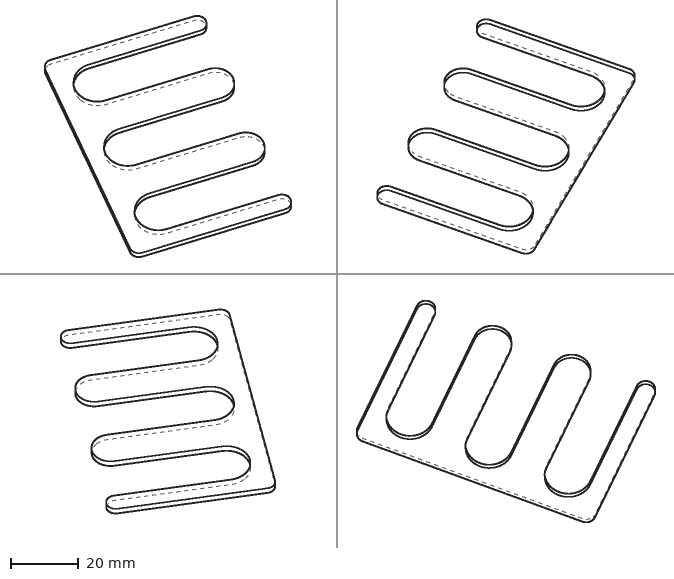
import cadquery as cq

length = 76.2
depth = 50.8
thickness = 2.0
slot_width = 14.1
slot_count = 3

outer_finger_width = (length - slot_count * slot_width) / (2 * slot_count)
inner_finger_width = 2 * outer_finger_width
spine_width = outer_finger_width
corner_radius = outer_finger_width / 2
slot_radius = slot_width / 2
slot_pitch = slot_width + inner_finger_width

front_y = -depth / 2
back_y = depth / 2
slot_end_y = front_y + spine_width
slot_arc_y = slot_end_y + slot_radius


def finger_tip(outline, start_x, width):
    """Round the free end of a finger, going in +X, with a half circle."""
    radius = width / 2
    shoulder_y = back_y - radius
    return (
        outline.lineTo(start_x, shoulder_y)
        .threePointArc((start_x + radius, back_y), (start_x + width, shoulder_y))
    )


def slot_bottom(outline, start_x):
    """Run down the side of a slot and around its half-circle bottom."""
    return (
        outline.lineTo(start_x, slot_arc_y)
        .threePointArc((start_x + slot_radius, slot_end_y), (start_x + slot_width, slot_arc_y))
    )


left_x = -length / 2
outline = cq.Workplane("XY").moveTo(left_x, front_y)
outline = finger_tip(outline, left_x, outer_finger_width)
for index in range(slot_count):
    slot_x = left_x + outer_finger_width + index * slot_pitch
    is_last = index == slot_count - 1
    next_finger_width = outer_finger_width if is_last else inner_finger_width
    outline = slot_bottom(outline, slot_x)
    outline = finger_tip(outline, slot_x + slot_width, next_finger_width)
outline = outline.lineTo(length / 2, front_y).close()

plate = outline.extrude(thickness)
spine_corners = plate.faces("<Y").edges("|Z")
result = spine_corners.fillet(corner_radius)